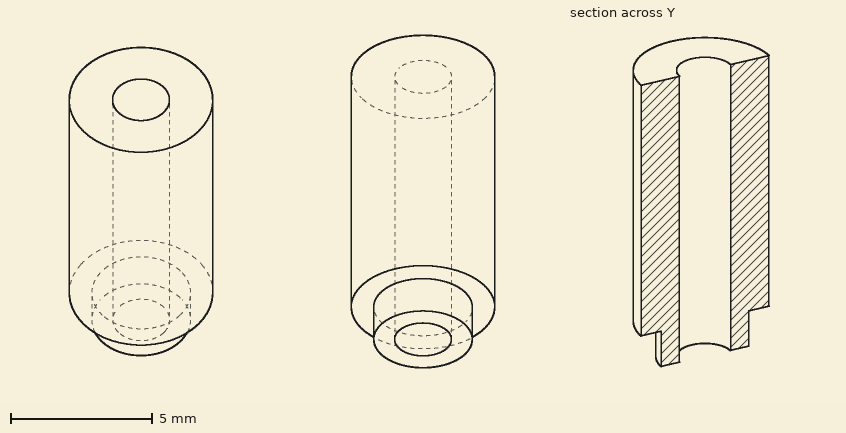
import cadquery as cq

total_height = 11.4
body_diameter = 5.1
spigot_diameter = 3.5
spigot_height = 1.4
bore_diameter = 2.02

body_height = total_height - spigot_height

spigot = cq.Workplane("XY").circle(spigot_diameter / 2).extrude(spigot_height)

body = (
    cq.Workplane("XY")
    .workplane(offset=spigot_height)
    .circle(body_diameter / 2)
    .extrude(body_height)
)

bore = cq.Workplane("XY").circle(bore_diameter / 2).extrude(total_height)

result = spigot.union(body).cut(bore)